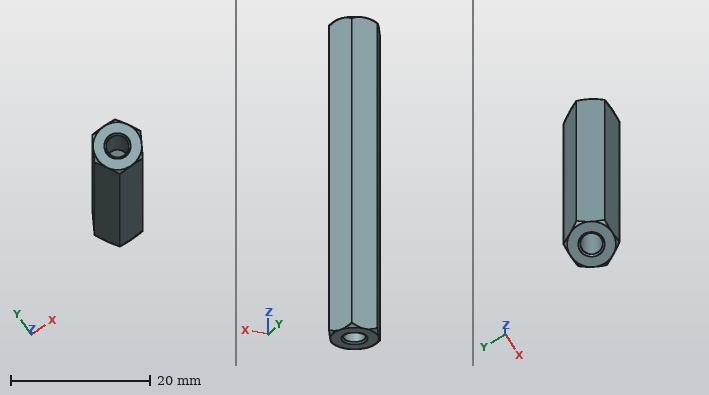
import cadquery as cq
import math

length = 50.0
across_flats = 7.0
across_corners = across_flats / math.cos(math.radians(30))

chamfer_angle = 45.0
end_face_diameter = across_flats

hole_diameter = 3.25
mouth_diameter = 3.8
hole_depth = 10.0
tip_angle = 118.0


def hex_bar():
    return cq.Workplane("XY").polygon(6, across_corners).extrude(length)


def corner_trim():
    """Revolved envelope whose conical ends cut the hex corners."""
    end_radius = end_face_diameter / 2
    outer_radius = across_corners / 2
    drop = (outer_radius - end_radius) * math.tan(math.radians(chamfer_angle))
    profile = [
        (0, 0),
        (end_radius, 0),
        (outer_radius, drop),
        (outer_radius, length - drop),
        (end_radius, length),
        (0, length),
    ]
    return cq.Workplane("XZ").polyline(profile).close().revolve(360, (0, 0), (0, 1))


def end_hole():
    """Hole tool entering from the bottom face."""
    hole_radius = hole_diameter / 2
    mouth_radius = mouth_diameter / 2
    mouth_depth = mouth_radius - hole_radius
    tip_depth = hole_radius / math.tan(math.radians(tip_angle / 2))
    profile = [
        (0, 0),
        (mouth_radius, 0),
        (hole_radius, mouth_depth),
        (hole_radius, hole_depth),
        (0, hole_depth + tip_depth),
    ]
    return cq.Workplane("XZ").polyline(profile).close().revolve(360, (0, 0), (0, 1))


bottom_hole = end_hole()
top_hole = bottom_hole.mirror("XY", (0, 0, length / 2))

result = hex_bar().intersect(corner_trim()).cut(bottom_hole).cut(top_hole)